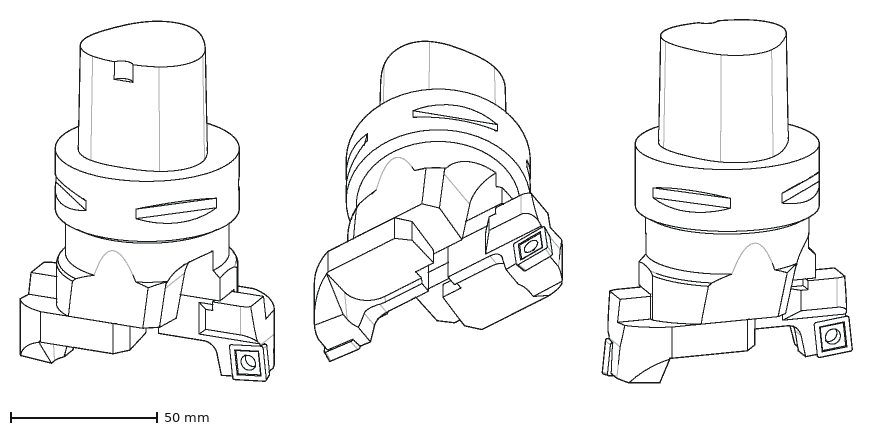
import cadquery as cq
import math

HALF_TURN = (0, 180)
BIG = 100.0

shank_length = 38.0
shank_mean_radius = 22.0
shank_lobe = 1.65
shank_taper = 0.7
lobe_half_angle = 25.0
lobe_angles = (90, 210, 330)
notch_radius = 4.0
notch_center_y = -21.6
notch_depth = 6.4

flange_radius = 31.5
flange_height = 22.0
flange_cone_bottom = -24.0
neck_radius = 28.0
neck_bottom = -38.3

grip_distance = 27.86
grip_floor_height = 3.5
grip_flank_angle = 30.0
grip_z = -12.0

shoulder_radius = 30.5
shoulder_z = neck_bottom - (shoulder_radius - neck_radius)
head_radius = 31.0
head_top = -41.9
side_flat_x = 29.9

flat_angle = 6.0
flat_top = -27.7

pocket_angle = 10.4
pocket_radius = 12.0
pocket_top = -31.1
pocket_floor_x = 14.0
fold_y = 20.7
fold_drift = 0.095

joint_half_width = 25.0
joint_edge_z = -55.6
joint_angle = 7.0
key_half_width = 5.95
keyway_top = -49.1
key_top = -49.85

foot_bottom = -78.45
rake_y = -0.8
key_end_x = 4.5
slide_end_x = -2.8
slide_end_y = 7.2
end_chamfer = 4.3
rim_radius = 22.2
rim_center = (21.5, 4.0)
outer_top_x = 40.9
outer_break_x = 42.6
outer_break_z = -65.2
outer_bottom_x = 43.2
foot_chamfer_top = -66.75
foot_chamfer_y = 14.3
foot_chamfer_turn = 3.0

block_x = 27.2
block_corner_radius = 5.0
block_right_x = 42.6
block_under_z = -60.3
block_under_drop = 4.3
wedge_top = -53.0
wedge_tip_x = 19.8
wedge_root_x = 24.6

arch_top = -66.8
arch_foot_x = 28.1
arch_angle = 12.0
arch_radius = 5.0

clear_wall_x = 29.4
clear_depth = 21.6
clear_radius = 10.0
clear_tilt = 7.0

insert_size = 12.7
insert_corner = 0.8
insert_thickness = 3.97
insert_relief = 7.0
insert_tilt = 6.0
insert_x = 38.08
insert_z = -72.31
insert_hole = 5.4
breaker_size = 9.0
breaker_depth = 0.3
breaker_slope = 45.0


def tan(angle):
    return math.tan(math.radians(angle))


def sin(angle):
    return math.sin(math.radians(angle))


def cos(angle):
    return math.cos(math.radians(angle))


def turned(shape, angle):
    return shape.rotate((0, 0, 0), (0, 0, 1), angle)


def joint_z(y):
    """Height of the roof-shaped joint at a distance y from the middle plane."""
    return joint_edge_z - (joint_half_width - y) * tan(joint_angle)


def lobed_outline(mean_radius, z):
    """Closed three-lobed wire: radius = mean + lobe * cos(3 * angle from a lobe)."""
    splits = []
    for lobe in lobe_angles:
        splits += [lobe - lobe_half_angle, lobe + lobe_half_angle]
    splits.append(splits[0] + 360)
    steps = 4
    edges = []
    for start, end in zip(splits, splits[1:]):
        points = []
        for i in range(steps + 1):
            angle = start + (end - start) * i / steps
            radius = mean_radius + shank_lobe * cos(3 * (angle - lobe_angles[0]))
            points.append(cq.Vector(radius * cos(angle), radius * sin(angle), z))
        edges.append(cq.Edge.makeSpline(points))
    return cq.Wire.assembleEdges(edges)


def make_shank():
    base = lobed_outline(shank_mean_radius, 0)
    top = lobed_outline(shank_mean_radius - shank_taper, shank_length)
    shank = cq.Workplane(cq.Solid.makeLoft([base, top], True))
    notch = (
        cq.Workplane("XY", origin=(0, notch_center_y, shank_length - notch_depth))
        .circle(notch_radius)
        .extrude(notch_depth)
    )
    return shank.cut(notch)


def make_turned_head():
    return (
        cq.Workplane("XZ")
        .polyline([
            (0, 0),
            (flange_radius, 0),
            (flange_radius, -flange_height),
            (neck_radius, flange_cone_bottom),
            (neck_radius, neck_bottom),
            (shoulder_radius, shoulder_z),
            (head_radius, head_top),
            (head_radius, joint_z(0)),
            (0, joint_z(0)),
        ])
        .close()
        .revolve(360, (0, 0, 0), (0, 1, 0))
    )


def make_grip_slot():
    depth = flange_radius - grip_distance
    inner = grip_floor_height / 2
    outer = inner + depth * tan(grip_flank_angle)
    return (
        cq.Workplane("XZ", origin=(0, 0, grip_z))
        .polyline([
            (grip_distance, -inner),
            (flange_radius, -outer),
            (flange_radius, outer),
            (grip_distance, inner),
        ])
        .close()
        .extrude(flange_radius, both=True)
    )


def make_side_cut():
    """Tilted flat on the -Y side."""
    bottom_y = neck_radius - (flat_top + BIG) * tan(flat_angle)
    return (
        cq.Workplane("YZ")
        .polyline([(-neck_radius, flat_top), (-bottom_y, -BIG), (-BIG, -BIG), (-BIG, flat_top)])
        .close()
        .extrude(BIG, both=True)
    )


def make_flat_cut():
    """Flat on the +X side, below the neck."""
    return (
        cq.Workplane("XY", origin=(0, 0, -BIG))
        .rect(BIG, BIG)
        .extrude(BIG + neck_bottom)
        .translate((side_flat_x + BIG / 2, 0, 0))
    )


def make_chip_pocket():
    """Pocket on the +X, -Y corner: sloped floor, rounded up into the top."""
    center_z = pocket_top - pocket_radius
    tangent_z = center_z + pocket_radius * sin(pocket_angle)
    tangent_x = pocket_floor_x + (tangent_z - joint_edge_z) * tan(pocket_angle)
    center_x = tangent_x + pocket_radius * cos(pocket_angle)
    middle = (90 - pocket_angle) / 2 + 90
    bottom_x = pocket_floor_x + (-BIG - joint_edge_z) * tan(pocket_angle)
    pocket = (
        cq.Workplane("XZ", origin=(0, -key_half_width, 0))
        .moveTo(bottom_x, -BIG)
        .lineTo(tangent_x, tangent_z)
        .threePointArc(
            (center_x + pocket_radius * cos(middle), center_z + pocket_radius * sin(middle)),
            (center_x, pocket_top),
        )
        .lineTo(BIG, pocket_top)
        .lineTo(BIG, -BIG)
        .close()
        .extrude(BIG)
    )
    return pocket.union(make_fold_cut())


def make_fold_cut():
    """Outer part of the pocket floor, turned by 45 degrees in plan."""
    reach = 20.0
    sections = []
    for z in (-BIG, pocket_top):
        rise = z - joint_edge_z
        x = pocket_floor_x + rise * tan(pocket_angle)
        y = -fold_y - rise * fold_drift
        corners = [(x, y, z), (x - reach, y - reach, z), (x + reach, y - reach, z), (x + reach, y, z)]
        sections.append(cq.Wire.makePolygon([cq.Vector(*c) for c in corners], close=True))
    return cq.Workplane(cq.Solid.makeLoft(sections, True))


def make_under_cut():
    """Everything below the roof-shaped joint, and the keyway."""
    ridge = joint_z(key_half_width)
    outer = joint_z(BIG)
    return (
        cq.Workplane("YZ")
        .polyline([
            (-BIG, -BIG),
            (-BIG, outer),
            (-key_half_width, ridge),
            (-key_half_width, keyway_top),
            (key_half_width, keyway_top),
            (key_half_width, ridge),
            (BIG, outer),
            (BIG, -BIG),
        ])
        .close()
        .extrude(BIG, both=True)
    )


def make_head():
    head = make_turned_head()
    for quarter in range(4):
        head = head.cut(turned(make_grip_slot(), 45 + 90 * quarter))
    for angle in HALF_TURN:
        head = head.cut(turned(make_side_cut(), angle))
        head = head.cut(turned(make_flat_cut(), angle))
        head = head.cut(turned(make_chip_pocket(), angle))
    head = head.cut(make_under_cut())
    return head.union(make_shank())


def make_insert_blank():
    """Square insert, its large face in the rake plane, narrowing toward +Y."""
    return (
        cq.Workplane("XZ")
        .rect(insert_size, insert_size)
        .extrude(-insert_thickness, taper=insert_relief)
        .edges("not(|X or |Z)")
        .fillet(insert_corner)
        .rotate((0, 0, 0), (0, 1, 0), -insert_tilt)
        .translate((insert_x, rake_y, insert_z))
    )


def make_insert():
    hole = cq.Workplane("XZ").circle(insert_hole / 2).extrude(-insert_thickness)
    breaker = (
        cq.Workplane("XZ")
        .rect(breaker_size, breaker_size)
        .extrude(-breaker_depth, taper=breaker_slope)
        .rotate((0, 0, 0), (0, 1, 0), -insert_tilt)
    )
    place = (insert_x, rake_y, insert_z)
    return make_insert_blank().cut(hole.union(breaker).translate(place))


def make_slide_plan():
    """Plan of the slide from its inner end to its round rim."""
    rim_x, rim_y = rim_center
    rim_start_x = rim_x + math.sqrt(rim_radius**2 - (joint_half_width - rim_y) ** 2)
    rim_end_x = rim_x + rim_radius
    return (
        cq.Workplane("XY", origin=(0, 0, foot_bottom))
        .moveTo(key_end_x, rake_y)
        .lineTo(key_end_x, slide_end_y)
        .lineTo(slide_end_x, slide_end_y)
        .lineTo(slide_end_x, joint_half_width - end_chamfer)
        .lineTo(slide_end_x + end_chamfer, joint_half_width)
        .lineTo(rim_start_x, joint_half_width)
        .threePointArc(
            (rim_x + rim_radius * cos(30), rim_y + rim_radius * sin(30)),
            (rim_end_x, rim_y),
        )
        .lineTo(rim_end_x, rake_y)
        .close()
        .extrude(key_top - foot_bottom)
    )


def make_key_block():
    """Block in front of the rake plane, with a sloped underside and a wedge at its root."""
    depth = key_half_width + rake_y
    width = block_right_x - block_x
    block = (
        cq.Workplane("XY", origin=(block_x, -key_half_width, foot_bottom))
        .rect(width, depth, centered=False)
        .extrude(key_top - foot_bottom)
        .edges("|Z and >X and <Y")
        .fillet(block_corner_radius)
    )
    wedge = (
        cq.Workplane("XY", origin=(0, 0, foot_bottom))
        .polyline([
            (wedge_tip_x, rake_y),
            (wedge_root_x, -key_half_width),
            (block_x, -key_half_width),
            (block_x, rake_y),
        ])
        .close()
        .extrude(wedge_top - foot_bottom)
    )
    under = (
        cq.Workplane("YZ")
        .polyline([
            (-key_half_width, block_under_z),
            (rake_y, block_under_z - block_under_drop),
            (rake_y, foot_bottom),
            (-key_half_width, foot_bottom),
        ])
        .close()
        .extrude(BIG)
    )
    return block.union(wedge).cut(under)


def make_roof_cut():
    """Space above the sloped joint, beside the key."""
    return (
        cq.Workplane("YZ")
        .polyline([
            (key_half_width, joint_z(key_half_width)),
            (BIG, joint_z(BIG)),
            (BIG, BIG),
            (key_half_width, BIG),
        ])
        .close()
        .extrude(BIG, both=True)
    )


def make_outer_cut():
    """Space outside the tilted outer face, which is steeper below a break."""
    return (
        cq.Workplane("XZ")
        .polyline([
            (outer_top_x, key_top),
            (outer_break_x, outer_break_z),
            (outer_bottom_x, foot_bottom),
            (BIG, foot_bottom),
            (BIG, key_top),
        ])
        .close()
        .extrude(BIG, both=True)
    )


def make_foot_slope():
    """Underside of the foot, rising outward in line with the insert."""
    return (
        cq.Workplane("XZ")
        .polyline([
            (arch_foot_x, foot_bottom),
            (BIG, foot_bottom + (BIG - arch_foot_x) * tan(insert_tilt)),
            (BIG, foot_bottom),
        ])
        .close()
        .extrude(BIG, both=True)
    )


def make_foot_chamfer():
    """Chamfer along the lower +Y edge of the foot."""
    run = joint_half_width - foot_chamfer_y
    rise = foot_chamfer_top - foot_bottom
    return (
        cq.Workplane("YZ")
        .polyline([
            (-run, -rise),
            (run, rise),
            (run, -rise),
        ])
        .close()
        .extrude(BIG, both=True)
        .rotate((0, 0, 0), (0, 0, 1), -foot_chamfer_turn)
        .translate((clear_wall_x, joint_half_width, foot_chamfer_top))
    )


def make_arch_cut():
    """Arch inside the foot: sloped wall rounded into a flat ceiling."""
    center_z = arch_top - arch_radius
    tangent_z = center_z + arch_radius * sin(arch_angle)
    tangent_x = arch_foot_x - (tangent_z - foot_bottom) * tan(arch_angle)
    center_x = tangent_x - arch_radius * cos(arch_angle)
    middle = (90 + arch_angle) / 2
    return (
        cq.Workplane("XZ")
        .moveTo(-BIG, foot_bottom)
        .lineTo(arch_foot_x, foot_bottom)
        .lineTo(tangent_x, tangent_z)
        .threePointArc(
            (center_x + arch_radius * cos(middle), center_z + arch_radius * sin(middle)),
            (center_x, arch_top),
        )
        .lineTo(-BIG, arch_top)
        .close()
        .extrude(BIG, both=True)
    )


def make_clearance_cut():
    """Round-cornered pocket inside the foot, tilted about X."""
    height = 20.0
    return (
        cq.Workplane("XY", origin=(clear_wall_x - BIG, -clear_depth, -height))
        .rect(BIG, BIG, centered=False)
        .extrude(height)
        .edges("|Z and >X and <Y")
        .fillet(clear_radius)
        .rotate((0, 0, 0), (1, 0, 0), -clear_tilt)
        .translate((0, joint_half_width, foot_chamfer_top))
    )


def make_slide():
    return (
        make_slide_plan()
        .union(make_key_block())
        .cut(make_roof_cut())
        .cut(make_outer_cut())
        .cut(make_foot_slope())
        .cut(make_foot_chamfer())
        .cut(make_arch_cut())
        .cut(make_clearance_cut())
        .cut(make_insert_blank())
    )


head = make_head()
slides = [turned(make_slide(), angle) for angle in HALF_TURN]
inserts = [turned(make_insert(), angle) for angle in HALF_TURN]

result = cq.Compound.makeCompound([
    head.val(),
    *[slide.val() for slide in slides],
    *[insert.val() for insert in inserts],
])